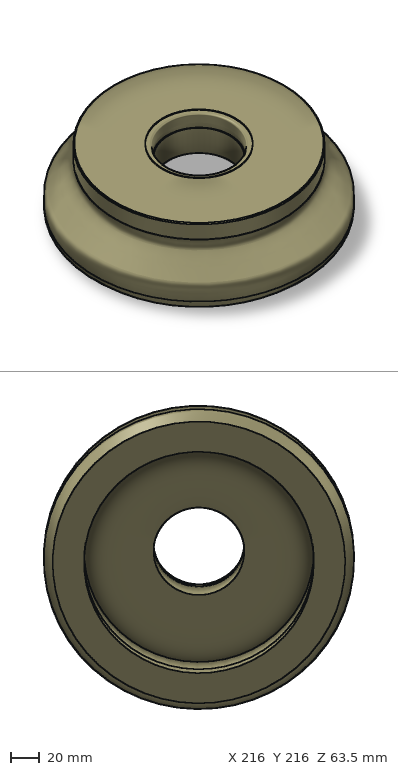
import cadquery as cq
import math

outer_radius = 108.0
height = 63.5

ring_height = 10.0
ring_land_top = 9.3
relief_bottom = 7.3
relief_setback = 0.09
corner_top = 6.5
corner_setback = 0.25
bevel_top = 5.6
bevel_bottom_radius = 101.8

rim_setback = 0.1
rim_radius = outer_radius - rim_setback
rim_top = 17.7
shoulder_fillet = 10.0
slope = math.radians(45)

flange_radius = 87.5
flange_bottom = 48.5
flange_chamfer = 0.9
neck_fillet = 8.5
neck_radius = 86.6

recess_radius = 37.4
recess_depth = 0.6
mouth_radius = 32.8
mouth_fillet = 2.0
seat_radius = 32.2
seat_top_depth = 7.8
seat_bottom_depth = 12.0
bore_radius = 31.5

cavity_radius = 80.0
cavity_height = 28.7


def arc_point(center, radius, angle):
    """Point (r, z) on a profile arc; the angle is measured up from +r."""
    return center[0] + radius * math.cos(angle), center[1] + radius * math.sin(angle)


def revolve_profile(profile):
    """Turn a closed (r, z) profile about the Z axis."""
    return profile.close().revolve(360, (0, 0, 0), (0, 1, 0))


def make_outer_blank():
    """Solid outer form: rim, rounded shoulder, neck and flange."""
    shoulder_center = (rim_radius - shoulder_fillet, rim_top)
    shoulder_mid = arc_point(shoulder_center, shoulder_fillet, slope / 2)
    slope_bottom = arc_point(shoulder_center, shoulder_fillet, slope)

    neck_center_r = neck_radius + neck_fillet
    slope_top_r = neck_center_r - neck_fillet * math.cos(slope)
    slope_top_z = slope_bottom[1] + (slope_bottom[0] - slope_top_r) / math.tan(slope)
    neck_center = (neck_center_r, slope_top_z + neck_fillet * math.sin(slope))
    neck_waist = arc_point(neck_center, neck_fillet, math.pi)
    neck_end_angle = math.pi - math.asin((flange_bottom - neck_center[1]) / neck_fillet)
    neck_top = arc_point(neck_center, neck_fillet, neck_end_angle)

    return revolve_profile(
        cq.Workplane("XZ")
        .moveTo(0, ring_height)
        .lineTo(rim_radius, ring_height)
        .lineTo(rim_radius, rim_top)
        .threePointArc(shoulder_mid, slope_bottom)
        .lineTo(slope_top_r, slope_top_z)
        .threePointArc(neck_waist, neck_top)
        .lineTo(flange_radius, flange_bottom + flange_chamfer)
        .lineTo(flange_radius, height - flange_chamfer)
        .lineTo(flange_radius - flange_chamfer, height)
        .lineTo(0, height)
    )


def make_bore_cutter():
    """Top recess, rounded mouth, tapered lead-in, seat, bore and bottom cavity."""
    recess_floor = height - recess_depth
    mouth_center = (mouth_radius + mouth_fillet, recess_floor - mouth_fillet)
    mouth_mid = arc_point(mouth_center, mouth_fillet, math.radians(135))

    return revolve_profile(
        cq.Workplane("XZ")
        .moveTo(0, height)
        .lineTo(recess_radius, height)
        .lineTo(recess_radius, recess_floor)
        .lineTo(mouth_center[0], recess_floor)
        .threePointArc(mouth_mid, (mouth_radius, mouth_center[1]))
        .lineTo(seat_radius, height - seat_top_depth)
        .lineTo(seat_radius, height - seat_bottom_depth)
        .lineTo(bore_radius, height - seat_bottom_depth)
        .lineTo(bore_radius, cavity_height)
        .lineTo(cavity_radius, cavity_height)
        .lineTo(cavity_radius, ring_height)
        .lineTo(0, ring_height)
    )


def make_tool_body():
    return make_outer_blank().cut(make_bore_cutter())


def make_cutting_ring():
    """Ring under the tool body: relieved land, rounded corner and 45 degree bevel."""
    bevel_top_radius = bevel_bottom_radius + bevel_top * math.tan(slope)
    return revolve_profile(
        cq.Workplane("XZ")
        .moveTo(cavity_radius, 0)
        .lineTo(bevel_bottom_radius, 0)
        .lineTo(bevel_top_radius, bevel_top)
        .tangentArcPoint((outer_radius - corner_setback, corner_top), relative=False)
        .lineTo(outer_radius - relief_setback, relief_bottom)
        .lineTo(outer_radius, ring_land_top)
        .lineTo(rim_radius, ring_height)
        .lineTo(cavity_radius, ring_height)
    )


tool_body = make_tool_body()
cutting_ring = make_cutting_ring()

result = cq.Compound.makeCompound([tool_body.val(), cutting_ring.val()])